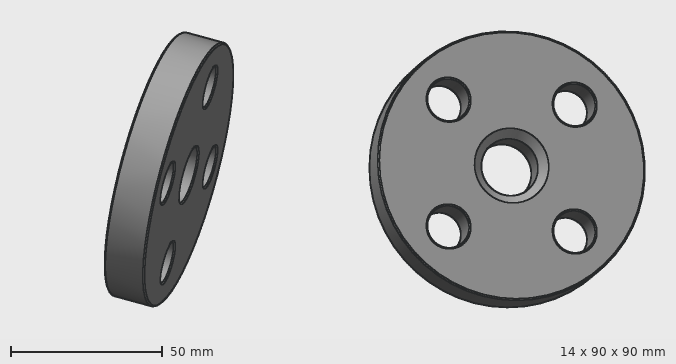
import cadquery as cq
import math

disc_diameter = 90.0
thickness = 14.0
rim_chamfer = 0.5

bore_diameter = 19.0
cone_diameter = 25.0
cone_depth = 3.0
bore_chamfer = 0.5

bolt_count = 4
bolt_hole_diameter = 14.0
bolt_circle_diameter = 60.0
bolt_start_angle = 45.0
bolt_hole_chamfer = 0.5

AXIS = cq.Vector(1, 0, 0)


def make_disc():
    """Plain disc with both rim edges chamfered."""
    disc = cq.Workplane("YZ").circle(disc_diameter / 2).extrude(thickness)
    return disc.faces("<X or >X").edges().chamfer(rim_chamfer)


def make_mouth(y, z, face_x, inward, radius, flare, depth):
    """Cone centred at (y, z) that narrows to the hole radius, going inward from a face."""
    start = cq.Vector(face_x, y, z)
    return cq.Workplane(cq.Solid.makeCone(radius + flare, radius, depth, start, inward))


def make_bore():
    """Through bore with the conical entry in front and a chamfer at the back."""
    radius = bore_diameter / 2
    cone_flare = (cone_diameter - bore_diameter) / 2
    bore = cq.Workplane("YZ").circle(radius).extrude(thickness)
    bore = bore.union(make_mouth(0, 0, 0, AXIS, radius, cone_flare, cone_depth))
    return bore.union(make_mouth(0, 0, thickness, -AXIS, radius, bore_chamfer, bore_chamfer))


def make_bolt_hole(y, z):
    """Through hole centred at (y, z), with a chamfer at both faces."""
    radius = bolt_hole_diameter / 2
    hole = cq.Workplane("YZ").center(y, z).circle(radius).extrude(thickness)
    for face_x, inward in ((0, AXIS), (thickness, -AXIS)):
        hole = hole.union(make_mouth(y, z, face_x, inward, radius, bolt_hole_chamfer, bolt_hole_chamfer))
    return hole


result = make_disc().cut(make_bore())
for index in range(bolt_count):
    angle = math.radians(bolt_start_angle + index * 360 / bolt_count)
    hole_y = bolt_circle_diameter / 2 * math.cos(angle)
    hole_z = bolt_circle_diameter / 2 * math.sin(angle)
    result = result.cut(make_bolt_hole(hole_y, hole_z))